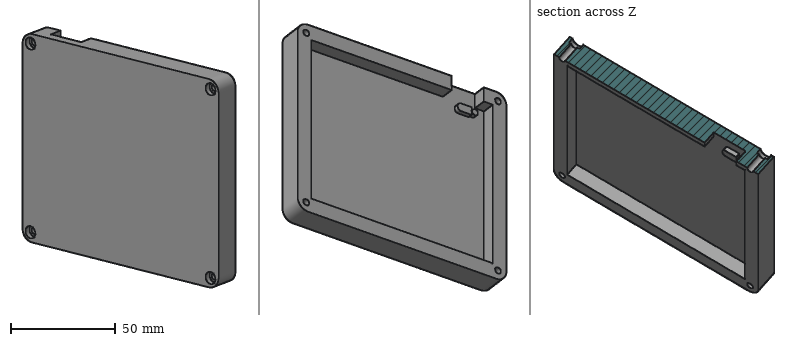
import cadquery as cq

length = 121.0
depth = 13.0
height = 105.0
corner_radius = 6.0

plate_thickness = 5.5
wall_thickness = 8.0

notch_left = -47.3
notch_width = 18.6

support_height = 2.5
support_drop = 12.1
post_diameter = 3.4
post_x = -45.6
rest_left = -43.7
rest_length = 8.1
rest_thickness = 4.4
rest_end_radius = 2.0

hole_inset = 5.0
hole_diameter = 3.4
counterbore_diameter = 6.0
counterbore_depth = 3.0

top = height / 2
plate_inside = plate_thickness - depth / 2
support_z = top - support_drop


def plate_block(x_left, x_size, y_size, z_bottom, z_size):
    """Box standing on the inside of the plate and reaching towards the back."""
    return (
        cq.Workplane("XY")
        .box(x_size, y_size, z_size, centered=False)
        .translate((x_left, plate_inside, z_bottom))
    )


def case_body():
    inside_length = length - 2 * wall_thickness
    inside_height = height - 2 * wall_thickness
    inside_depth = depth - plate_thickness
    outer = cq.Workplane("XY").box(length, depth, height).edges("|Y").fillet(corner_radius)
    cavity = plate_block(
        -inside_length / 2, inside_length, inside_depth, -inside_height / 2, inside_height
    )
    notch = plate_block(
        notch_left, notch_width, inside_depth, top - wall_thickness, wall_thickness
    )
    return outer.cut(cavity).cut(notch)


def support_post():
    return (
        cq.Workplane("XZ", origin=(post_x, plate_inside, support_z))
        .circle(post_diameter / 2)
        .extrude(-support_height)
    )


def support_rest():
    """Bar with its right end rounded, next to the post."""
    bar = plate_block(
        rest_left, rest_length, support_height, support_z - rest_thickness / 2, rest_thickness
    )
    return bar.edges("|Y and >X").fillet(rest_end_radius)


def drill_screw_holes(body):
    return (
        body.faces("<Y")
        .workplane(centerOption="CenterOfBoundBox")
        .rect(length - 2 * hole_inset, height - 2 * hole_inset, forConstruction=True)
        .vertices()
        .cboreHole(hole_diameter, counterbore_diameter, counterbore_depth)
    )


result = drill_screw_holes(case_body().union(support_post()).union(support_rest()))